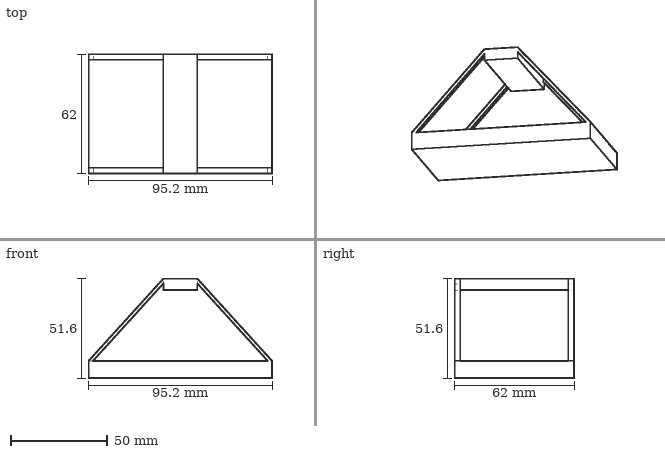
import cadquery as cq

length = 95.25
width = 62.0
height = 51.6

base_height = 9.0
bar_length = 17.7
bar_height = 6.0
strut_width = 3.05
strut_run = 2.4

half_length = length / 2
half_bar = bar_length / 2
strut_slope = (height - base_height) / (half_length - half_bar)
strut_drop = strut_run * strut_slope


def block(size_x, size_z, bottom):
    """Full-width block centred in X and Y, standing on the given height."""
    return cq.Workplane("XY").workplane(offset=bottom).rect(size_x, width).extrude(size_z)


def strut(side_x, side_y):
    """Sloping strut from an end of the base to a top edge of the bar, flush with the side face."""
    outline = [
        (side_x * half_length, base_height),
        (side_x * half_bar, height),
        (side_x * half_bar, height - strut_drop),
        (side_x * (half_length - strut_run), base_height),
    ]
    centre_y = side_y * (width - strut_width) / 2
    return (
        cq.Workplane("XZ", origin=(0, centre_y, 0))
        .polyline(outline)
        .close()
        .extrude(strut_width / 2, both=True)
    )


base = block(length, base_height, 0)
bar = block(bar_length, bar_height, height - bar_height)

result = base
for side_x in (-1, 1):
    for side_y in (-1, 1):
        result = result.union(strut(side_x, side_y))
result = result.union(bar)